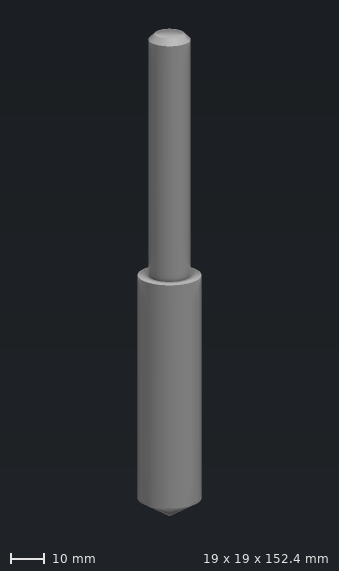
import cadquery as cq
import math

total_length = 152.4
body_diameter = 19.0
body_length = 76.2
shank_diameter = 12.6

point_angle = 118.0
chamfer_size = 1.8

body_radius = body_diameter / 2
shank_radius = shank_diameter / 2
tip_height = body_radius / math.tan(math.radians(point_angle / 2))


def make_body():
    """Cylinder with a conical point at the bottom, tip on the origin."""
    return (
        cq.Workplane("XZ")
        .moveTo(0, 0)
        .lineTo(body_radius, tip_height)
        .lineTo(body_radius, body_length)
        .lineTo(0, body_length)
        .close()
        .revolve(360, (0, 0, 0), (0, 1, 0))
    )


def make_shank():
    """Round shank standing on the body, chamfered around its free end."""
    return (
        cq.Workplane("XY", origin=(0, 0, body_length))
        .circle(shank_radius)
        .extrude(total_length - body_length)
        .faces(">Z")
        .chamfer(chamfer_size)
    )


body = make_body()
shank = make_shank()

result = cq.Compound.makeCompound([body.val(), shank.val()])